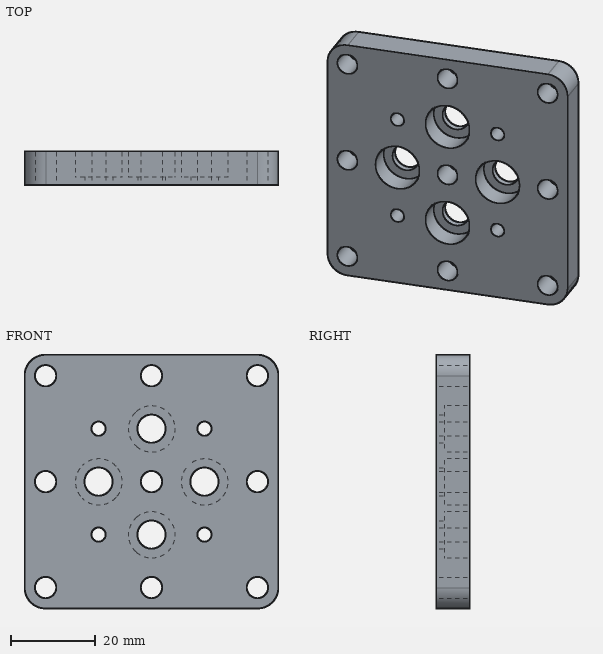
import cadquery as cq

side = 60.0
thickness = 8.0
corner_radius = 5.0

outer_pitch = 25.0
inner_pitch = outer_pitch / 2

mounting_diameter = 5.0
large_diameter = 6.6
small_diameter = 3.3

counterbore_diameter = 11.0
web_thickness = 2.0
counterbore_depth = thickness - web_thickness


def through_holes(points, diameter):
    """Cylinders along Y at the given (x, z) points, spanning the thickness."""
    return (
        cq.Workplane("XZ")
        .pushPoints(points)
        .circle(diameter / 2)
        .extrude(thickness / 2, both=True)
    )


def rear_counterbores(points):
    """Cylinders entering from the +Y face at the given (x, z) points."""
    return (
        cq.Workplane("XZ", origin=(0, thickness / 2, 0))
        .pushPoints(points)
        .circle(counterbore_diameter / 2)
        .extrude(counterbore_depth)
    )


plate = (
    cq.Workplane("XZ")
    .rect(side, side)
    .extrude(thickness / 2, both=True)
    .edges("|Y")
    .fillet(corner_radius)
)

steps = (-1, 0, 1)
mounting_points = [(i * outer_pitch, k * outer_pitch) for i in steps for k in steps]

large_points = [(i * inner_pitch, k * inner_pitch) for i in steps for k in steps if abs(i) + abs(k) == 1]
small_points = [(i * inner_pitch, k * inner_pitch) for i in steps for k in steps if abs(i) + abs(k) == 2]

result = (
    plate
    .cut(through_holes(mounting_points, mounting_diameter))
    .cut(through_holes(large_points, large_diameter))
    .cut(rear_counterbores(large_points))
    .cut(through_holes(small_points, small_diameter))
)